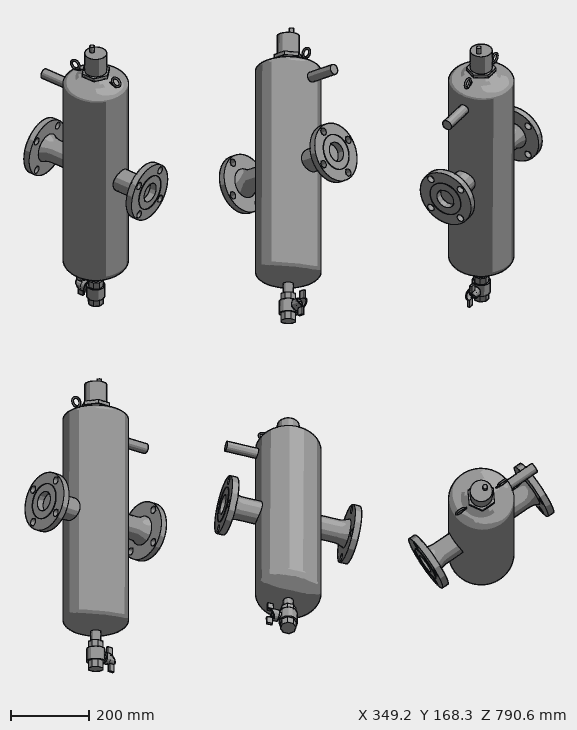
import math

import cadquery as cq


SHELL_DIA = 168.275
SHELL_RADIUS = SHELL_DIA / 2
TOP_HEAD_DEPTH = 27.0
BOTTOM_HEAD_DEPTH = 33.5
SHELL_TOP = 263.0
SHELL_BOTTOM = -280.0

FACE_TO_FACE = 349.25
FLANGE_DIA = 152.4
FLANGE_THICKNESS = 19.05
RAISED_FACE_DIA = 92.1
RAISED_FACE_HEIGHT = 1.6
PIPE_DIA = 60.3
BORE_DIA = 50.8
WELD_NECK_DIA = 76.0
WELD_NECK_LENGTH = 28.5
BOLT_CIRCLE_DIA = 125.0
BOLT_HOLE_DIA = 19.05
BOLT_COUNT = 4

SMALL_PIPE_DIA = 26.67
SIDE_PIPE_Z = 226.0
SIDE_PIPE_END_X = -166.2

COLLAR_BASE_RADIUS = 51.5
COLLAR_TOP_RADIUS = 32.5
COLLAR_STEP_RADIUS = 43.2
COLLAR_STEP_Z = 290.0
HEX_BASE_Z = 296.0
HEX_TOP_Z = 305.5
HEX_ACROSS_CORNERS = 75.0
CAP_DIA = 56.4
CAP_TOP_Z = 359.4
PIN_DIA = 12.0
PIN_X = -11.9
PIN_TOP_Z = 376.1

EYE_X = 65.5
EYE_Z = 296.3
EYE_RING_RADIUS = 12.3
EYE_WIRE_RADIUS = 2.5
EYE_FOOT_TOP_Z = 288.4
EYE_FOOT_INNER_X = 42.0
EYE_FOOT_THICKNESS = 3.0

OVERALL_HEIGHT = 790.62
VALVE_BOTTOM = PIN_TOP_Z - OVERALL_HEIGHT
VALVE_TOP = -341.6
VALVE_END_SIDES = 8
VALVE_END_WIDTH = 37.0
VALVE_BODY_DIA = 46.6
VALVE_BODY_TOP = -360.4
VALVE_BODY_BOTTOM = -394.0
STEM_Z = (VALVE_BODY_TOP + VALVE_BODY_BOTTOM) / 2
STEM_DIA = 20.0

HANDLE_INNER_X = -27.3
HANDLE_OUTER_X = -56.6
HANDLE_HUB_DIA = 30.0
HANDLE_SPAN = 67.6
WING_WIDTH = 15.0
WING_THICKNESS = 6.5
WING_CUT_X = -49.0
WING_CUT_RISE = 10.0
HANDLE_POCKET_DIA = 23.5
HANDLE_POCKET_FLOOR_X = -40.0
SCREW_DIA = 9.0
SCREW_END_X = -45.0


def cylinder_z(diameter, bottom, top, x=0.0):
    return cq.Workplane("XY", origin=(x, 0, bottom)).circle(diameter / 2).extrude(top - bottom)


def cylinder_x(diameter, start, end, z=0.0):
    return cq.Workplane("YZ", origin=(start, 0, z)).circle(diameter / 2).extrude(end - start)


def vessel():
    """Shell with both heads and the stepped collar that carries the vent."""
    collar_angle = math.acos(COLLAR_BASE_RADIUS / SHELL_RADIUS)
    profile = (
        cq.Workplane("XZ")
        .moveTo(0, SHELL_BOTTOM - BOTTOM_HEAD_DEPTH)
        .ellipseArc(SHELL_RADIUS, BOTTOM_HEAD_DEPTH, 270, 360)
        .lineTo(SHELL_RADIUS, SHELL_TOP)
        .ellipseArc(SHELL_RADIUS, TOP_HEAD_DEPTH, 0, math.degrees(collar_angle))
        .lineTo(COLLAR_STEP_RADIUS, COLLAR_STEP_Z)
        .lineTo(COLLAR_TOP_RADIUS, HEX_BASE_Z)
        .lineTo(0, HEX_BASE_Z)
        .close()
    )
    return profile.revolve(360, (0, 0, 0), (0, 1, 0))


def flanged_connection():
    """Connection on the -X side, with its bolt holes and a bore as deep as the flange."""
    face_x = -FACE_TO_FACE / 2
    rim_x = face_x + RAISED_FACE_HEIGHT
    back_x = face_x + FLANGE_THICKNESS
    neck_end_x = back_x + WELD_NECK_LENGTH
    neck_radius = WELD_NECK_DIA / 2
    pipe_radius = PIPE_DIA / 2
    flare_rise = neck_radius - pipe_radius
    flare_radius = (WELD_NECK_LENGTH**2 + flare_rise**2) / (2 * flare_rise)
    flare_mid_angle = math.asin(WELD_NECK_LENGTH / flare_radius) / 2
    flare_mid = (
        neck_end_x - flare_radius * math.sin(flare_mid_angle),
        pipe_radius + flare_radius * (1 - math.cos(flare_mid_angle)),
    )
    profile = (
        cq.Workplane("XZ")
        .moveTo(face_x, 0)
        .lineTo(face_x, RAISED_FACE_DIA / 2)
        .lineTo(rim_x, RAISED_FACE_DIA / 2)
        .lineTo(rim_x, FLANGE_DIA / 2)
        .lineTo(back_x, FLANGE_DIA / 2)
        .lineTo(back_x, neck_radius)
        .threePointArc(flare_mid, (neck_end_x, pipe_radius))
        .lineTo(0, pipe_radius)
        .lineTo(0, 0)
        .close()
    )
    body = profile.revolve(360, (0, 0, 0), (1, 0, 0))
    bolt_holes = (
        cq.Workplane("YZ", origin=(face_x, 0, 0))
        .polarArray(BOLT_CIRCLE_DIA / 2, 180 / BOLT_COUNT, 360, BOLT_COUNT)
        .circle(BOLT_HOLE_DIA / 2)
        .extrude(FLANGE_THICKNESS)
    )
    bore = cylinder_x(BORE_DIA, face_x, back_x)
    return body.cut(bolt_holes).cut(bore)


def side_pipe():
    return cylinder_x(SMALL_PIPE_DIA, SIDE_PIPE_END_X, 0, SIDE_PIPE_Z)


def vent():
    """Hexagon, cap and off-centre pin on top of the vessel."""
    hexagon = (
        cq.Workplane("XY", origin=(0, 0, HEX_BASE_Z))
        .polygon(6, HEX_ACROSS_CORNERS)
        .extrude(HEX_TOP_Z - HEX_BASE_Z)
    )
    cap = cylinder_z(CAP_DIA, HEX_TOP_Z, CAP_TOP_Z)
    pin = cylinder_z(PIN_DIA, CAP_TOP_Z, PIN_TOP_Z, PIN_X)
    return hexagon.union(cap).union(pin)


def lifting_eye():
    """Wire ring on the -X side, standing on a thin foot that reaches the collar."""
    ring = cq.Workplane(
        cq.Solid.makeTorus(
            EYE_RING_RADIUS, EYE_WIRE_RADIUS, cq.Vector(-EYE_X, 0, EYE_Z), cq.Vector(0, 1, 0)
        )
    )
    foot_height = EYE_FOOT_TOP_Z - SHELL_TOP
    foot = cq.Workplane("XY").box(
        EYE_X - EYE_FOOT_INNER_X, EYE_FOOT_THICKNESS, foot_height, centered=(False, True, False)
    )
    foot = foot.translate((-EYE_X, 0, SHELL_TOP))
    eye_hole = (
        cq.Workplane("XZ", origin=(-EYE_X, 0, EYE_Z))
        .circle(EYE_RING_RADIUS)
        .extrude(EYE_FOOT_THICKNESS / 2, both=True)
    )
    return foot.cut(eye_hole).union(ring)


def valve_end(bottom, top):
    half_step = 180 / VALVE_END_SIDES
    corner_dia = VALVE_END_WIDTH / math.cos(math.radians(half_step))
    return (
        cq.Workplane("XY", origin=(0, 0, bottom))
        .transformed(rotate=(0, 0, half_step))
        .polygon(VALVE_END_SIDES, corner_dia)
        .extrude(top - bottom)
    )


def half_handle():
    """The -Y half of the handle, with the upward wing, placed about the stem axis."""
    hub_radius = HANDLE_HUB_DIA / 2
    slope = WING_CUT_RISE / (WING_CUT_X - HANDLE_OUTER_X)
    cut_end_x = WING_CUT_X + hub_radius / slope
    wing_height = HANDLE_SPAN / 2 - WING_CUT_RISE
    hub = cylinder_x(HANDLE_HUB_DIA, HANDLE_OUTER_X, HANDLE_INNER_X)
    kept = (
        cq.Workplane("XZ")
        .moveTo(HANDLE_OUTER_X, WING_CUT_RISE)
        .lineTo(HANDLE_OUTER_X, hub_radius)
        .lineTo(HANDLE_INNER_X, hub_radius)
        .lineTo(HANDLE_INNER_X, -hub_radius)
        .lineTo(cut_end_x, -hub_radius)
        .close()
        .extrude(hub_radius)
    )
    wing = (
        cq.Workplane("XY")
        .box(WING_WIDTH, WING_THICKNESS, wing_height, centered=False)
        .translate((HANDLE_OUTER_X, -WING_THICKNESS, WING_CUT_RISE))
    )
    return hub.intersect(kept).union(wing)


def drain_valve():
    drain_pipe = cylinder_z(SMALL_PIPE_DIA, VALVE_TOP, SHELL_BOTTOM)
    upper_end = valve_end(VALVE_BODY_TOP, VALVE_TOP)
    lower_end = valve_end(VALVE_BOTTOM, VALVE_BODY_BOTTOM)
    body = cylinder_z(VALVE_BODY_DIA, VALVE_BODY_BOTTOM, VALVE_BODY_TOP)
    stem = cylinder_x(STEM_DIA, HANDLE_INNER_X, 0, STEM_Z)
    front_half = half_handle()
    rear_half = front_half.rotate((0, 0, 0), (1, 0, 0), 180)
    pocket = cylinder_x(HANDLE_POCKET_DIA, HANDLE_OUTER_X, HANDLE_POCKET_FLOOR_X)
    screw = cylinder_x(SCREW_DIA, SCREW_END_X, HANDLE_INNER_X)
    handle = front_half.union(rear_half).cut(pocket).union(screw).translate((0, 0, STEM_Z))
    return drain_pipe.union(upper_end).union(lower_end).union(body).union(stem).union(handle)


result = vessel().union(side_pipe()).union(vent()).union(drain_valve())
for feature in (flanged_connection(), lifting_eye()):
    result = result.union(feature).union(feature.mirror("YZ"))